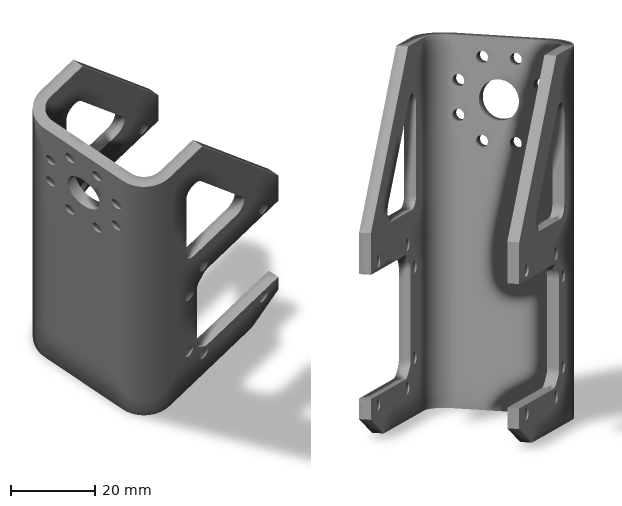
import cadquery as cq
import math

height = 90.0
width = 40.0
depth = 48.0
thickness = 3.0
outer_bend = 8.0
inner_bend = outer_bend - thickness

top_length = 20.0
slope_end_z = 50.0
foot_length = 9.6
foot_height = 5.0

window_front_y = 14.0
window_base_z = slope_end_z
window_margin = 8.0
window_fillet = 3.0

notch_floor_y = 18.0
notch_height = 30.0
notch_center_z = 25.0
notch_chamfer = 3.0
notch_fillet = 3.0

screw_diameter = 3.0
screw_spacing = 22.0
row_center_y = 31.5
row_offset_z = 17.3
column_y = 15.1

bore_diameter = 10.0
bore_z = 75.0
hole_circle_radius = 11.0
hole_count = 8


def rounded_channel(size_x, front_y, bend):
    """Block running from front_y to the rear, with its two front vertical edges rounded."""
    block = cq.Workplane("XY").box(size_x, depth - front_y, height, centered=(True, False, False))
    return block.translate((0, front_y, 0)).edges("|Z and <Y").fillet(bend)


def across_flanges(sketch):
    """Extrude a YZ outline through both flanges."""
    return sketch.extrude(width, both=True)


def flange_profile():
    outline = cq.Workplane("YZ").polyline([
        (0, 0),
        (depth - foot_length, 0),
        (depth, foot_height),
        (depth, slope_end_z),
        (top_length, height),
        (0, height),
    ]).close()
    return across_flanges(outline)


def window():
    slope = (height - slope_end_z) / (depth - top_length)
    drop = window_margin * math.hypot(1, slope)
    apex_z = height - slope * (window_front_y - top_length) - drop
    rear_y = window_front_y + (apex_z - window_base_z) / slope
    outline = cq.Workplane("YZ").polyline([
        (window_front_y, window_base_z),
        (rear_y, window_base_z),
        (window_front_y, apex_z),
    ]).close()
    return across_flanges(outline).edges("|X").fillet(window_fillet)


def notch():
    low_z = notch_center_z - notch_height / 2
    high_z = notch_center_z + notch_height / 2
    outline = cq.Workplane("YZ").polyline([
        (depth, low_z),
        (notch_floor_y + notch_chamfer, low_z),
        (notch_floor_y, low_z + notch_chamfer),
        (notch_floor_y, high_z - notch_chamfer),
        (notch_floor_y + notch_chamfer, high_z),
        (depth, high_z),
    ]).close()
    return across_flanges(outline).edges("|X and (not >Y)").fillet(notch_fillet)


def flange_holes():
    half = screw_spacing / 2
    centers = []
    for side in (-1, 1):
        row_z = notch_center_z + side * row_offset_z
        centers.append((row_center_y - half, row_z))
        centers.append((row_center_y + half, row_z))
        centers.append((column_y, notch_center_z + side * half))
    return across_flanges(cq.Workplane("YZ").pushPoints(centers).circle(screw_diameter / 2))


def web_holes():
    start_angle = 180 / hole_count
    plane = cq.Workplane("XZ").center(0, bore_z)
    bore = plane.circle(bore_diameter / 2).extrude(-outer_bend)
    ring = (
        plane.polarArray(hole_circle_radius, start_angle, 360, hole_count)
        .circle(screw_diameter / 2)
        .extrude(-outer_bend)
    )
    return bore.union(ring)


channel = rounded_channel(width, 0, outer_bend)
channel = channel.cut(rounded_channel(width - 2 * thickness, thickness, inner_bend))
result = (
    channel.intersect(flange_profile())
    .cut(window())
    .cut(notch())
    .cut(flange_holes())
    .cut(web_holes())
)